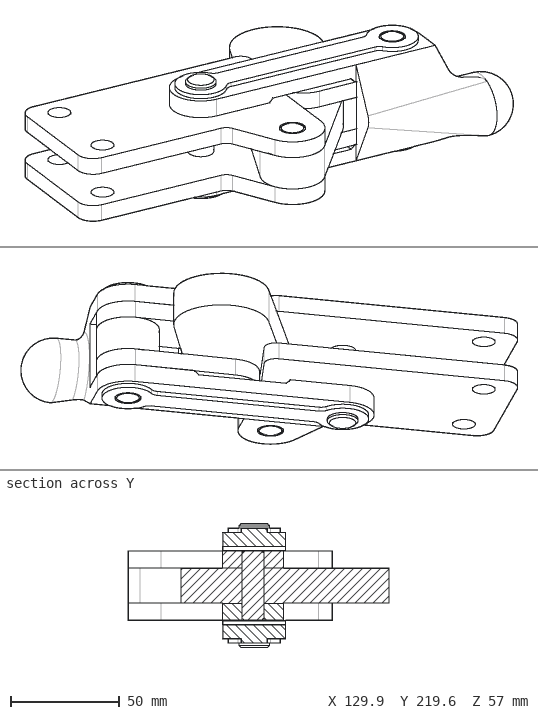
import cadquery as cq
import math


arm_half = 8.0
plate_thickness = 8.0
plate_outer = arm_half + plate_thickness
bar_thickness = 8.5
bar_outer = plate_outer + bar_thickness
pad_height = 2.0
pad_outer = bar_outer + pad_height
rivet_head_height = 2.0
pin_chamfer = 0.8

handle_pivot = (0.0, 0.0)
link_pivot = (0.0, 101.5)
arm_link_pivot = (0.6, 54.0)
arm_base_pivot = (43.0, 24.0)
pin_radius = 6.0

base_left = -36.0
base_right = 27.0
base_bottom = -76.0
base_corner_radius = 8.0
base_top_corner_radius = 5.5
base_lug_radius = 15.0
base_lug_slope = 28.3
base_lug_fillet = 5.0
base_top_slope = 9.7
base_top = arm_base_pivot[1] + base_lug_radius
mount_hole_diameter = 10.5
mount_hole_spacing = 40.0
mount_hole_middle = (base_left + base_right) / 2
mount_hole_inset = 15.0
mount_hole_y = base_bottom + mount_hole_inset

arm_nose_center = (-49.86, 69.0)
arm_nose_radius = 22.0
arm_elbow_radius = 18.5
arm_heel_radius = 15.0

bar_radius = 14.5
bar_top = link_pivot[1] + bar_radius
pad_radius = 12.0
pad_neck_half = 6.0
pad_fillet = 4.0
pocket_length = 45.0
pocket_depth = 2.0
pocket_chamfer = 1.8

grip_bottom = 74.0
grip_tip = 26.3
grip_tip_radius = 6.6
ball_radius = 15.0
ball_center = (34.8, 128.6)
grip_flare = 4.0
grip_relief = 0.5

rivet_head_radius = 7.1
rivet_chamfer = 1.0


def layer(outline, bottom, top):
    """Extrude an outline drawn in the XY plane between two Z levels."""
    return outline.extrude(top - bottom).translate((0, 0, bottom))


def mirrored(body):
    """The same body on the other side of the mirror plane."""
    return body.mirror("XY")


def cylinder(center, radius, bottom, top):
    return layer(cq.Workplane("XY").center(*center).circle(radius), bottom, top)


def pin_hole(center):
    return cylinder(center, pin_radius, -pad_outer, pad_outer)


def on_circle(center, radius, angle):
    return (center[0] + radius * math.cos(angle), center[1] + radius * math.sin(angle))


def tangent_bar(center_a, radius_a, center_b, radius_b, bottom, top):
    """Plate around two circles, joined by their outer tangent lines."""
    dx = center_b[0] - center_a[0]
    dy = center_b[1] - center_a[1]
    axis = math.atan2(dy, dx)
    spread = math.acos((radius_a - radius_b) / math.hypot(dx, dy))
    outline = (
        cq.Workplane("XY")
        .moveTo(*on_circle(center_a, radius_a, axis + spread))
        .threePointArc(
            on_circle(center_a, radius_a, axis + math.pi),
            on_circle(center_a, radius_a, axis - spread),
        )
        .lineTo(*on_circle(center_b, radius_b, axis - spread))
        .threePointArc(
            on_circle(center_b, radius_b, axis),
            on_circle(center_b, radius_b, axis + spread),
        )
        .close()
    )
    return layer(outline, bottom, top)


def round_corner(plate, corner, radius):
    """Fillet the upright edge of a base plate that stands at the given corner."""
    edge_middle = (corner[0], corner[1], arm_half + plate_thickness / 2)
    return plate.edges(cq.selectors.NearestToPointSelector(edge_middle)).fillet(radius)


def make_base_plate():
    """Upper base plate with a side lug for the arm pivot."""
    slope = math.radians(base_lug_slope)
    lug_tangent = on_circle(arm_base_pivot, base_lug_radius, slope - math.pi / 2)
    lug_root_y = lug_tangent[1] - (lug_tangent[0] - base_right) * math.tan(slope)
    left_top = base_top - base_left * math.tan(math.radians(base_top_slope))
    outline = (
        cq.Workplane("XY")
        .moveTo(base_left, base_bottom)
        .lineTo(base_right, base_bottom)
        .lineTo(base_right, lug_root_y)
        .lineTo(*lug_tangent)
        .threePointArc(
            on_circle(arm_base_pivot, base_lug_radius, slope / 2),
            (arm_base_pivot[0], base_top),
        )
        .lineTo(0, base_top)
        .lineTo(base_left, left_top)
        .close()
    )
    plate = layer(outline, arm_half, plate_outer)
    plate = plate.edges("|Z").edges("<Y").fillet(base_corner_radius)
    plate = round_corner(plate, (base_right, lug_root_y), base_lug_fillet)
    plate = round_corner(plate, (base_left, left_top), base_top_corner_radius)
    for side in (-1, 1):
        hole_center = (mount_hole_middle + side * mount_hole_spacing / 2, mount_hole_y)
        plate = plate.cut(cylinder(hole_center, mount_hole_diameter / 2, 0, plate_outer))
    return plate.cut(pin_hole(handle_pivot)).cut(pin_hole(arm_base_pivot))


def make_arm():
    """Bent clamping arm: nose, elbow at the link and heel at the base."""
    front = tangent_bar(
        arm_nose_center, arm_nose_radius, arm_link_pivot, arm_elbow_radius, -arm_half, arm_half
    )
    rear = tangent_bar(
        arm_link_pivot, arm_elbow_radius, arm_base_pivot, arm_heel_radius, -arm_half, arm_half
    )
    lower = tangent_bar(
        arm_nose_center, arm_nose_radius, arm_base_pivot, arm_heel_radius, -arm_half, arm_half
    )
    arm = front.union(rear).union(lower)
    return arm.cut(pin_hole(arm_link_pivot)).cut(pin_hole(arm_base_pivot))


def make_link():
    """Upper link between the handle and the arm."""
    link = tangent_bar(link_pivot, bar_radius, arm_link_pivot, bar_radius, arm_half, plate_outer)
    return link.cut(pin_hole(link_pivot)).cut(pin_hole(arm_link_pivot))


def make_pad():
    """Raised dog-bone pad on the outer face of a handle bar."""
    fillet_x = pad_neck_half + pad_fillet
    reach = pad_radius + pad_fillet
    neck_offset = math.sqrt(reach**2 - fillet_x**2)
    neck_high = link_pivot[1] - neck_offset
    touch_x = fillet_x * pad_radius / reach
    touch_offset = neck_offset * pad_radius / reach
    touch_high = link_pivot[1] - touch_offset
    outline = (
        cq.Workplane("XY")
        .moveTo(pad_neck_half, neck_offset)
        .lineTo(pad_neck_half, neck_high)
        .radiusArc((touch_x, touch_high), pad_fillet)
        .threePointArc((0, link_pivot[1] + pad_radius), (-touch_x, touch_high))
        .radiusArc((-pad_neck_half, neck_high), pad_fillet)
        .lineTo(-pad_neck_half, neck_offset)
        .radiusArc((-touch_x, touch_offset), pad_fillet)
        .threePointArc((0, -pad_radius), (touch_x, touch_offset))
        .radiusArc((pad_neck_half, neck_offset), pad_fillet)
        .close()
    )
    return layer(outline, bar_outer, pad_outer)


def make_bar():
    """Upper handle bar with its pad outside and a relief pocket inside."""
    outline = (
        cq.Workplane("XY")
        .moveTo(bar_radius, 0)
        .lineTo(bar_radius, bar_top)
        .lineTo(0, bar_top)
        .radiusArc((-bar_radius, link_pivot[1]), -bar_radius)
        .lineTo(-bar_radius, 0)
        .threePointArc((0, -bar_radius), (bar_radius, 0))
        .close()
    )
    pocket_middle = link_pivot[1] / 2
    pocket = (
        cq.Workplane("XY")
        .box(2 * bar_radius, pocket_length, pocket_depth, centered=(True, True, False))
        .edges(">Z and |X")
        .chamfer(pocket_chamfer)
        .translate((0, pocket_middle, plate_outer))
    )
    return layer(outline, plate_outer, bar_outer).cut(pocket).union(make_pad())


def grip_section(work, nose_center, nose_radius):
    """Tapered section from the bar faces to a round nose, both sides tangent to the nose."""
    reach = nose_center - bar_radius
    angle = math.atan2(reach, bar_outer) + math.asin(nose_radius / math.hypot(reach, bar_outer))
    tangent = on_circle((nose_center, 0), nose_radius, angle)
    return (
        work.moveTo(bar_radius, -bar_outer)
        .lineTo(tangent[0], -tangent[1])
        .threePointArc((nose_center + nose_radius, 0), tangent)
        .lineTo(bar_radius, bar_outer)
        .close()
    )


def make_grip():
    """Tapered grip joining both bars, ending in a stub with a ball end."""
    lower = grip_section(
        cq.Workplane("XZ", origin=(0, grip_bottom, 0)), grip_tip - grip_tip_radius, grip_tip_radius
    )
    taper = grip_section(
        lower.workplane(offset=grip_bottom - ball_center[1]), ball_center[0], ball_radius
    ).loft(ruled=True)

    body_length = ball_center[0] + ball_radius - bar_radius
    body = (
        cq.Workplane("XY")
        .box(body_length, bar_top - grip_bottom, 2 * bar_outer, centered=(False, False, True))
        .translate((bar_radius, grip_bottom, 0))
    )
    stub = (
        cq.Workplane("XY")
        .moveTo(0, bar_top)
        .lineTo(ball_radius + grip_flare, bar_top)
        .radiusArc((ball_radius, bar_top + grip_flare), grip_flare)
        .lineTo(ball_radius, ball_center[1])
        .lineTo(0, ball_center[1])
        .close()
        .revolve(360, (0, 0), (0, 1))
        .translate((ball_center[0], 0, 0))
    )
    ball_end = (
        cq.Workplane("XY")
        .moveTo(0, ball_center[1])
        .lineTo(ball_radius, ball_center[1])
        .radiusArc((0, ball_center[1] + ball_radius), -ball_radius)
        .close()
        .revolve(360, (0, 0), (0, 1))
        .translate((ball_center[0], 0, 0))
    )
    relief = (
        cq.Workplane("XY")
        .box(grip_relief, bar_top, 2 * plate_outer, centered=(False, False, True))
        .translate((bar_radius, 0, 0))
    )
    return taper.intersect(body.union(stub)).union(ball_end).cut(relief)


def make_handle():
    bar = make_bar()
    handle = make_grip().union(bar).union(mirrored(bar))
    return handle.cut(pin_hole(handle_pivot)).cut(pin_hole(link_pivot))


def make_pin(center, half_length):
    """Flush pin with chamfered ends."""
    pin = cylinder(center, pin_radius, -half_length, half_length)
    return pin.faces("<Z or >Z").chamfer(pin_chamfer)


def make_handle_pin():
    """Pin with a chamfered rivet head on each end."""
    pin = cylinder(handle_pivot, pin_radius, -pad_outer, pad_outer)
    head = cylinder(handle_pivot, rivet_head_radius, pad_outer, pad_outer + rivet_head_height)
    head = head.faces(">Z").chamfer(rivet_chamfer)
    return pin.union(head).union(mirrored(head))


def make_link_pin():
    """Flush pin with a wide collar that spaces the two links apart."""
    collar = cylinder(link_pivot, bar_radius, -arm_half, arm_half)
    return make_pin(link_pivot, pad_outer).union(collar)


base_plate = make_base_plate()
link = make_link()
arm = make_arm()
handle = make_handle()
handle_pin = make_handle_pin()
link_pin = make_link_pin()
arm_link_pin = make_pin(arm_link_pivot, plate_outer)
arm_base_pin = make_pin(arm_base_pivot, plate_outer)

plates = [base_plate, mirrored(base_plate)]
links = [link, mirrored(link)]
pins = [handle_pin, link_pin, arm_link_pin, arm_base_pin]

result = cq.Compound.makeCompound([body.val() for body in [*plates, *links, arm, handle, *pins]])